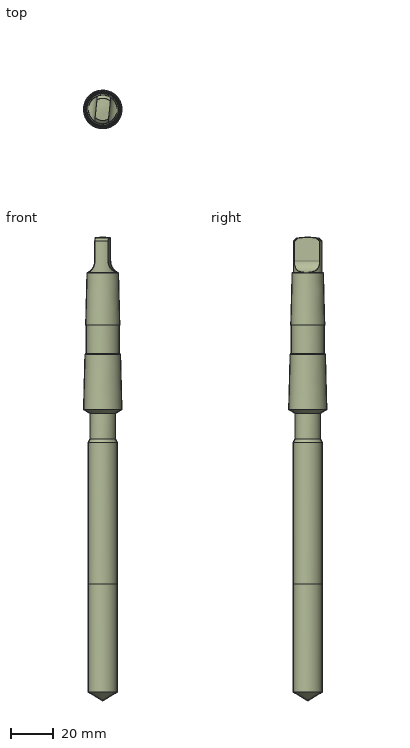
import cadquery as cq
import math

TOTAL_LENGTH = 216.0
HEAD_LENGTH = 54.5
BODY_TOP = 120.3
FLANK_BOTTOM = 135.5
GROOVE_BOTTOM = 161.3
GROOVE_TOP = 174.9
TAPER_TOP = 199.0

BODY_RADIUS = 13.5 / 2
POINT_ANGLE = 118.0
POINT_HEIGHT = BODY_RADIUS / math.tan(math.radians(POINT_ANGLE / 2))

NECK_RADIUS = 12.0 / 2
NECK_SHOULDER_HEIGHT = 1.5
COLLAR_CONE_HEIGHT = 1.7

TAPER_RADIUS = 18.0 / 2
TAPER_SLOPE = 1 / 40
GROOVE_RADIUS = 15.5 / 2
GROOVE_SHOULDER_HEIGHT = 0.5
TAPER_END_CHAMFER = 0.5

TANG_RADIUS = 6.7
TANG_THICKNESS = 6.3
TANG_CHAMFER = 1.5
TANG_CROWN_HEIGHT = 0.5
TANG_TURN = -6.0
FLAT_BOTTOM = 204.7
FLAT_RUNOUT_RADIUS = 5.6


def taper_radius(height):
    """Radius of the shank cone, which narrows upward."""
    return TAPER_RADIUS - TAPER_SLOPE * (height - FLANK_BOTTOM)


def revolve_profile(points):
    """Turn a closed outline of (radius, height) points about Z."""
    return cq.Workplane("XZ").polyline(points).close().revolve(360, (0, 0, 0), (0, 1, 0))


def make_head():
    """Cylindrical drill head ending in a conical point."""
    return revolve_profile([
        (0, 0),
        (BODY_RADIUS, POINT_HEIGHT),
        (BODY_RADIUS, HEAD_LENGTH),
        (0, HEAD_LENGTH),
    ])


def make_turned_shank():
    """Drill body, neck, grooved taper and round tang, before the flats are cut."""
    crown_base = TOTAL_LENGTH - TANG_CROWN_HEIGHT
    return revolve_profile([
        (0, HEAD_LENGTH),
        (BODY_RADIUS, HEAD_LENGTH),
        (BODY_RADIUS, BODY_TOP),
        (NECK_RADIUS, BODY_TOP + NECK_SHOULDER_HEIGHT),
        (NECK_RADIUS, FLANK_BOTTOM - COLLAR_CONE_HEIGHT),
        (TAPER_RADIUS, FLANK_BOTTOM),
        (taper_radius(GROOVE_BOTTOM), GROOVE_BOTTOM),
        (GROOVE_RADIUS, GROOVE_BOTTOM + GROOVE_SHOULDER_HEIGHT),
        (GROOVE_RADIUS, GROOVE_TOP),
        (taper_radius(GROOVE_TOP), GROOVE_TOP),
        (taper_radius(TAPER_TOP), TAPER_TOP),
        (TANG_RADIUS, TAPER_TOP + TAPER_END_CHAMFER),
        (TANG_RADIUS, crown_base - TANG_CHAMFER),
        (TANG_RADIUS - TANG_CHAMFER, crown_base),
        (0, TOTAL_LENGTH),
    ])


def make_flat_cutter():
    """Cutter for one flat of the tang, with a quarter-round runout at its foot."""
    half_thickness = TANG_THICKNESS / 2
    runout_end = half_thickness + FLAT_RUNOUT_RADIUS
    arc_offset = FLAT_RUNOUT_RADIUS * (1 - math.sqrt(0.5))
    arc_middle = (
        half_thickness + arc_offset,
        FLAT_BOTTOM - FLAT_RUNOUT_RADIUS + arc_offset,
    )
    return (
        cq.Workplane("XZ")
        .moveTo(half_thickness, TOTAL_LENGTH)
        .lineTo(half_thickness, FLAT_BOTTOM)
        .threePointArc(arc_middle, (runout_end, FLAT_BOTTOM - FLAT_RUNOUT_RADIUS))
        .lineTo(runout_end, TOTAL_LENGTH)
        .close()
        .extrude(TAPER_RADIUS, both=True)
    )


def make_shank():
    """Turned shank with two opposite flats, turned slightly about the axis."""
    shank = make_turned_shank()
    cutter = make_flat_cutter()
    for side_angle in (0, 180):
        shank = shank.cut(cutter.rotate((0, 0, 0), (0, 0, 1), TANG_TURN + side_angle))
    return shank


head = make_head()
shank = make_shank()

result = cq.Compound.makeCompound([head.val(), shank.val()])